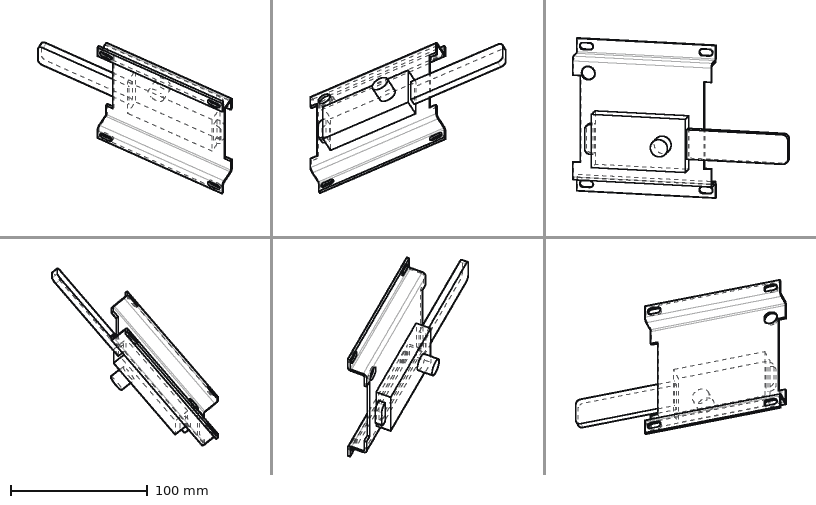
import cadquery as cq

plate_width = 104.0
plate_height = 114.5
sheet = 2.0
plate_depth = 15.2
step_height = 92.9
bend_outer_radius = 3.0
bend_inner_radius = bend_outer_radius - sheet

notch_depth = 5.5
notch_height = 65.2
slot_length = 10.0
slot_width = 5.0
slot_pitch = 89.6
slot_edge_distance = 5.5
hole_diameter = 10.0
hole_x = 40.5
hole_z = 34.7

lock_z = -13.2
block_length = 70.4
block_height = 40.0
block_depth = 11.7
block_offset = 16.8
overall_length = 163.0
lever_overhang = overall_length - plate_width
lever_length = 152.4
lever_height = 22.2
lever_thickness = 5.0
lever_gap = 2.3
lever_corner_radius = 4.0
post_diameter = 12.9
post_length = 11.7
post_offset = 33.9

plate_left = -plate_width / 2


def placed_box(length, depth, height, left, front, center_z):
    """Box starting at X = left and Y = front, centred on center_z."""
    box = cq.Workplane("XY").box(length, depth, height, centered=(False, False, True))
    return box.translate((left, front, center_z))


def sheet_strip(points):
    """Closed Y-Z outline extruded across the plate width."""
    return cq.Workplane("YZ").polyline(points).close().extrude(plate_width / 2, both=True)


def bent_half():
    """Upper half of the sheet: panel, horizontal web and mounting flange."""
    web_top = step_height / 2
    web_bottom = web_top - sheet
    edge = plate_height / 2
    flange_front = sheet - plate_depth
    flange_rear = flange_front + sheet
    half = sheet_strip([
        (0, 0),
        (sheet, 0),
        (sheet, web_top),
        (flange_rear, web_top),
        (flange_rear, edge),
        (flange_front, edge),
        (flange_front, web_bottom),
        (0, web_bottom),
    ])
    outer_corners = [(sheet, web_top), (flange_front, web_bottom)]
    inner_corners = [(0, web_bottom), (flange_rear, web_top)]
    for corners, radius in ((outer_corners, bend_outer_radius), (inner_corners, bend_inner_radius)):
        for y, z in corners:
            half = half.edges(cq.selectors.NearestToPointSelector((0, y, z))).fillet(radius)
    return half


def plate():
    upper = bent_half()
    sheet_body = upper.union(upper.mirror("XY"))
    for side in (-1, 1):
        notch = cq.Workplane("XY").box(2 * notch_depth, 4 * sheet, notch_height)
        sheet_body = sheet_body.cut(notch.translate((side * plate_width / 2, 0, 0)))
    slot_z = plate_height / 2 - slot_edge_distance
    slots = (
        cq.Workplane("XZ")
        .rarray(slot_pitch, 2 * slot_z, 2, 2)
        .slot2D(slot_length, slot_width)
        .extrude(plate_depth)
    )
    hole = (
        cq.Workplane("XZ")
        .center(hole_x, hole_z)
        .circle(hole_diameter / 2)
        .extrude(2 * sheet, both=True)
    )
    return sheet_body.cut(slots).cut(hole)


def lock_block():
    return placed_box(block_length, block_depth, block_height, plate_left + block_offset, sheet, lock_z)


def lever():
    bar = placed_box(
        lever_length, lever_thickness, lever_height,
        plate_left - lever_overhang, sheet + lever_gap, lock_z,
    )
    return bar.edges("|Y").fillet(lever_corner_radius)


def post():
    return (
        cq.Workplane("XZ", origin=(plate_left + post_offset, sheet + block_depth, lock_z))
        .circle(post_diameter / 2)
        .extrude(-post_length)
    )


result = plate().union(lock_block()).union(lever()).union(post())